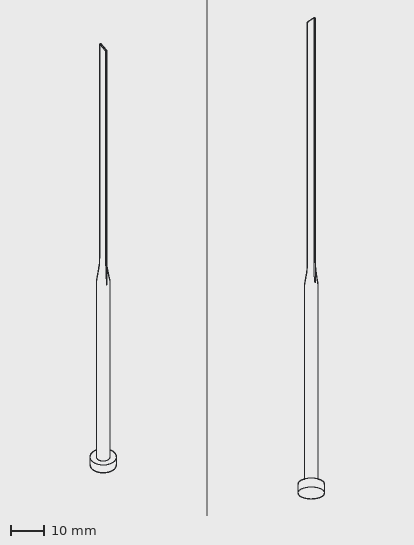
import cadquery as cq

total_length = 160.0
head_diameter = 8.0
head_height = 3.0
shaft_diameter = 4.2
blade_width = 3.8
blade_thickness = 0.5
blade_length = 80.0
transition_length = 9.6

blade_base = total_length - blade_length
transition_base = blade_base - transition_length

head = cq.Workplane("XY").circle(head_diameter / 2).extrude(head_height)
shaft = cq.Workplane("XY").circle(shaft_diameter / 2).extrude(transition_base)

transition = (
    cq.Workplane("XY", origin=(0, 0, transition_base))
    .circle(shaft_diameter / 2)
    .workplane(offset=transition_length)
    .rect(blade_width, blade_thickness)
    .loft(combine=True)
)

blade = (
    cq.Workplane("XY", origin=(0, 0, blade_base))
    .rect(blade_width, blade_thickness)
    .extrude(blade_length)
)

result = head.union(shaft).union(transition).union(blade)